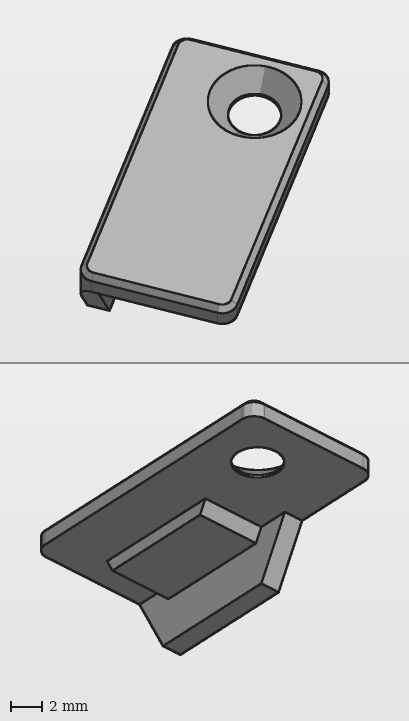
import cadquery as cq

width = 10.5
length = 21.0
plate_thickness = 1.5
corner_radius = 1.0
edge_chamfer = 0.4

total_height = 5.9
wall_drop = total_height - plate_thickness
wall_thickness = plate_thickness
wall_length = 14.0
wall_end_inset = 2.27

pad_reach = 6.3
pad_depth = 1.0
pad_margin = wall_end_inset

hole_diameter = 3.4
sink_diameter = 6.0
sink_angle = 90.0
hole_x = 6.5
hole_y = 17.0



def rounded_block(bottom, height):
    """Block with the plate outline and rounded vertical corners."""
    block = cq.Workplane("XY").box(width, length, height, centered=False)
    return block.edges("|Z").fillet(corner_radius).translate((0, 0, bottom))


def make_plate():
    return rounded_block(0, plate_thickness).faces(">Z").edges().chamfer(edge_chamfer)


def tapered_block(start, end, depth, reach):
    """Block hanging below the plate, its Y ends sloping inwards at the wall taper."""
    inset = depth * wall_end_inset / wall_drop
    return (
        cq.Workplane("YZ")
        .moveTo(start, 0)
        .lineTo(end, 0)
        .lineTo(end - inset, -depth)
        .lineTo(start + inset, -depth)
        .close()
        .extrude(reach)
    )


def make_wall():
    """Tapered wall, trimmed to the rounded plate outline."""
    wall = tapered_block(0, wall_length, wall_drop, wall_thickness)
    return wall.intersect(rounded_block(-wall_drop, wall_drop))


def make_pad():
    return tapered_block(pad_margin, wall_length - pad_margin, pad_depth, pad_reach)


def drill_screw_hole(body):
    return (
        body.faces(">Z")
        .workplane(origin=(hole_x, hole_y, plate_thickness))
        .cskHole(hole_diameter, sink_diameter, sink_angle)
    )


result = drill_screw_hole(make_plate().union(make_wall()).union(make_pad()))